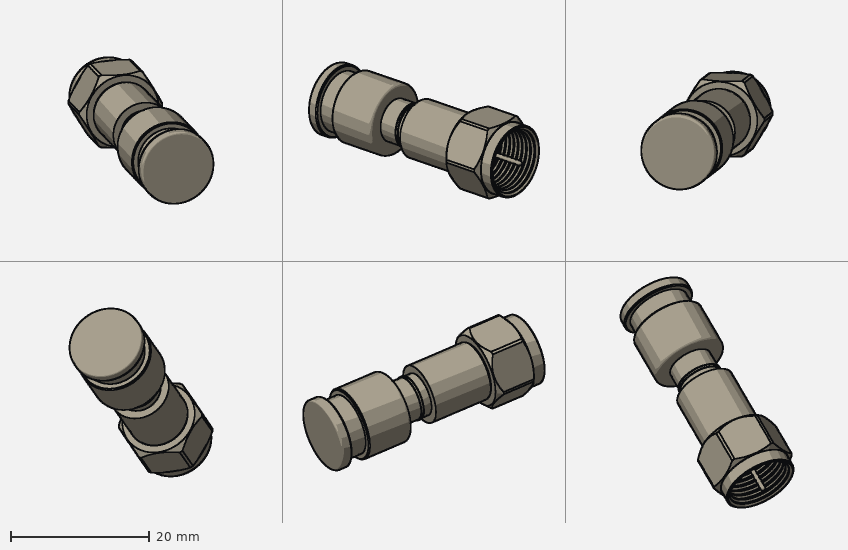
import cadquery as cq
import math

total_length = 35.75

pin_diameter = 0.75
pin_tip_round = 0.35

collar_start = 1.1
collar_diameter = 10.85
collar_edge = 0.15
hex_start = 3.07
hex_end = 9.65
hex_across_flats = 11.12
hex_corner_diameter = 12.6
hex_face_diameter = 10.95
hex_front_bevel = 0.55
hex_rear_bevel = 0.85

socket_floor = 8.35
socket_mouth_diameter = 10.4
socket_mouth_bevel = 0.3
thread_minor_diameter = 8.97
thread_major_diameter = 9.58
thread_pitch = 0.8
thread_count = 8
thread_start = 1.65
thread_crest_width = 0.18
socket_end_diameter = 8.7
socket_end_length = 0.18

pin_gap_diameter = 1.55
pin_gap_mouth_diameter = 1.93
pin_gap_bevel = 0.18
pin_gap_depth = 1.07

body_diameter = 8.97
body_end = 19.2
body_bevel_length = 0.2
body_bevel_depth = 0.18
neck_diameter = 6.58
ring_diameter = 6.83
ring_start = 20.55
ring_width = 0.43

sleeve_diameter = 11.0
sleeve_start = 23.88
sleeve_end = 31.28
sleeve_front_round = 0.55
sleeve_rear_chamfer = 0.18
tail_diameter = 9.22
flange_start = 34.1
flange_front_chamfer = 0.18
flange_rear_round = 0.32


def cylinder(start, end, diameter):
    """Solid cylinder on the X axis between two stations."""
    return cq.Workplane("YZ", origin=(start, 0, 0)).circle(diameter / 2).extrude(end - start)


def revolve_profile(points):
    """Solid of revolution about X from (station, radius) points."""
    return cq.Workplane("XY").polyline(points).close().revolve(360, (0, 0, 0), (1, 0, 0))


def make_nut():
    collar = cylinder(collar_start, hex_start, collar_diameter).faces("<X").edges().chamfer(collar_edge)
    corner_to_corner = hex_across_flats / math.cos(math.pi / 6)
    hexagon = (
        cq.Workplane("YZ", origin=(hex_start, 0, 0))
        .polygon(6, corner_to_corner)
        .extrude(hex_end - hex_start)
    )
    envelope = revolve_profile([
        (hex_start, 0),
        (hex_start, hex_face_diameter / 2),
        (hex_start + hex_front_bevel, hex_corner_diameter / 2),
        (hex_end - hex_rear_bevel, hex_corner_diameter / 2),
        (hex_end, hex_face_diameter / 2),
        (hex_end, 0),
    ])
    return collar.union(hexagon.intersect(envelope))


def make_socket():
    """Bore of the nut with flat-topped annular thread crests and a narrower end."""
    minor_radius = thread_minor_diameter / 2
    points = [
        (collar_start, 0),
        (collar_start, socket_mouth_diameter / 2),
        (collar_start + socket_mouth_bevel, thread_major_diameter / 2),
        (thread_start, thread_major_diameter / 2),
    ]
    for turn in range(thread_count):
        crest = thread_start + (turn + 0.5) * thread_pitch
        points.append((crest - thread_crest_width / 2, minor_radius))
        points.append((crest + thread_crest_width / 2, minor_radius))
        points.append((crest + thread_pitch / 2, thread_major_diameter / 2))
    step_start = socket_floor - socket_end_length
    points.append((step_start, thread_major_diameter / 2))
    points.append((step_start, socket_end_diameter / 2))
    points.append((socket_floor, socket_end_diameter / 2))
    points.append((socket_floor, 0))
    return revolve_profile(points)


def make_pin_gap():
    gap_end = socket_floor + pin_gap_depth
    return revolve_profile([
        (socket_floor, 0),
        (socket_floor, pin_gap_mouth_diameter / 2),
        (socket_floor + pin_gap_bevel, pin_gap_diameter / 2),
        (gap_end, pin_gap_diameter / 2),
        (gap_end, 0),
    ])


def make_pin():
    pin = cylinder(0, hex_end, pin_diameter)
    return pin.faces("<X").edges().fillet(pin_tip_round)


def make_body():
    body_radius = body_diameter / 2
    body = revolve_profile([
        (hex_end, 0),
        (hex_end, body_radius - body_bevel_depth),
        (hex_end + body_bevel_length, body_radius),
        (body_end, body_radius),
        (body_end, 0),
    ])
    neck = cylinder(body_end, sleeve_start, neck_diameter)
    ring = cylinder(ring_start, ring_start + ring_width, ring_diameter)
    return body.union(neck).union(ring)


def make_sleeve():
    barrel = cylinder(sleeve_start, sleeve_end, sleeve_diameter)
    barrel = barrel.faces("<X").edges().fillet(sleeve_front_round)
    barrel = barrel.faces(">X").edges().chamfer(sleeve_rear_chamfer)
    tail = cylinder(sleeve_end, flange_start, tail_diameter)
    flange = cylinder(flange_start, total_length, sleeve_diameter)
    flange = flange.faces("<X").edges().chamfer(flange_front_chamfer)
    flange = flange.faces(">X").edges().fillet(flange_rear_round)
    return barrel.union(tail).union(flange)


nut = make_nut().cut(make_socket()).cut(make_pin_gap())
result = nut.union(make_body()).union(make_sleeve()).union(make_pin())